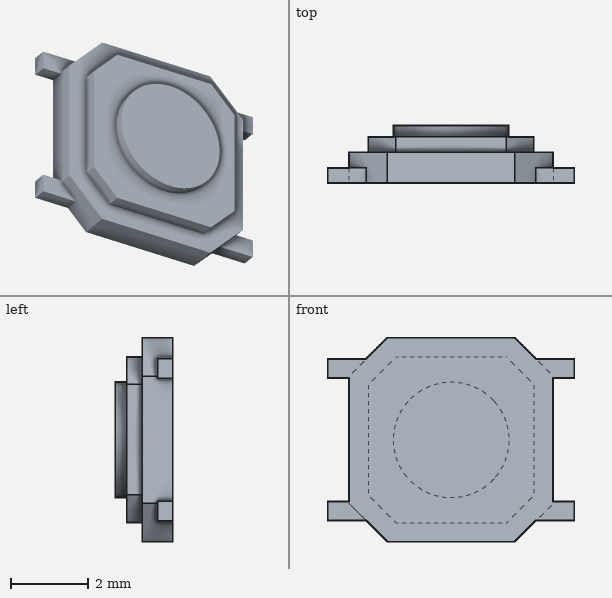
import cadquery as cq

lead_span = 6.4
body_size = 5.3
body_height = 0.8
body_chamfer = 1.0
cover_size = 4.3
cover_height = 0.4
cover_chamfer = 0.72
button_diameter = 3.0
total_height = 1.5
lead_width = 0.5
lead_height = 0.4
lead_outer_edge = 2.1

cover_top = body_height + cover_height
button_height = total_height - cover_top
lead_center = lead_outer_edge - lead_width / 2


def chamfered_square(size, height, chamfer, base):
    """Square plate with cut corners, rising along +Y from the given base."""
    plate = cq.Workplane("XY").box(size, height, size, centered=(True, False, True))
    return plate.edges("|Y").chamfer(chamfer).translate((0, base, 0))


def lead_bar(z):
    """Bar through the body whose two ends form a pair of leads."""
    bar = cq.Workplane("XY").box(lead_span, lead_height, lead_width, centered=(True, False, True))
    return bar.translate((0, 0, z))


body = chamfered_square(body_size, body_height, body_chamfer, 0)
cover = chamfered_square(cover_size, cover_height, cover_chamfer, body_height)

button = (
    cq.Workplane("XZ")
    .workplane(offset=-cover_top)
    .circle(button_diameter / 2)
    .extrude(-button_height)
)

result = body.union(cover).union(button)
for side in (-1, 1):
    result = result.union(lead_bar(side * lead_center))
result = result.clean()